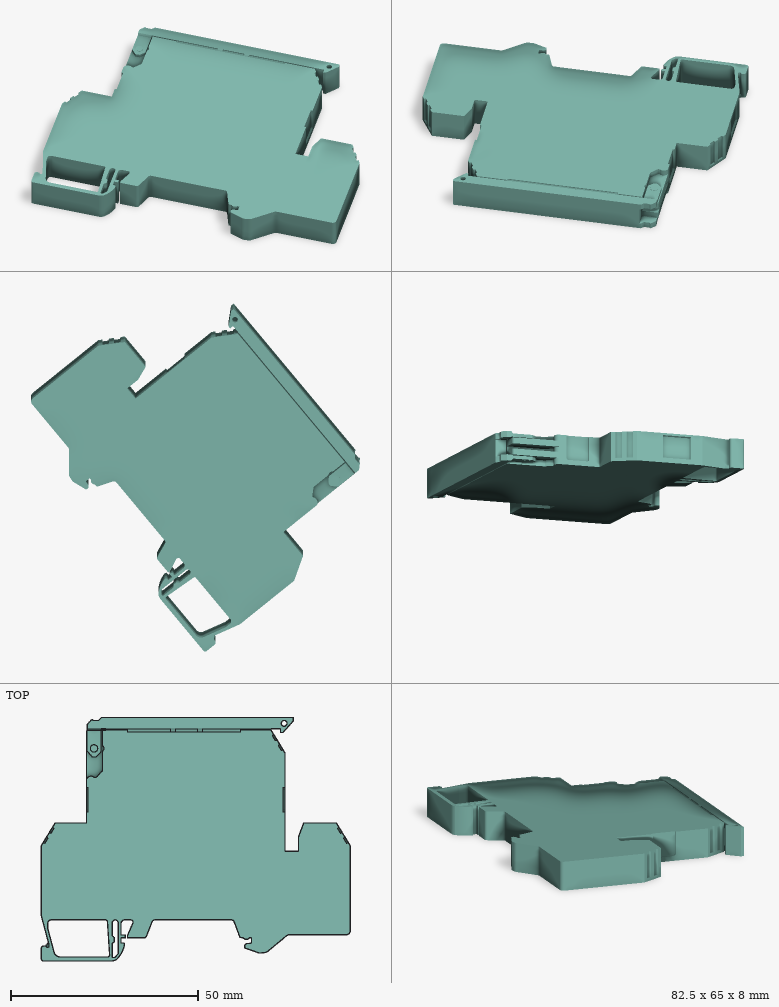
import cadquery as cq
import math

length = 82.5
height = 65.0
thickness = 8.0

rail_y = 11.0
foot_y = 6.2
heel_y = 7.0
shoulder_y = 36.9
housing_top = 61.6
groove_y = 29.4

tower_left = 12.05
tower_right = 65.1
groove_right = 68.6

bevel_x = 3.7
bevel_y = 6.1

vent_drops = [(1.0, 2.55), (3.6, 5.2)]
vent_depth = 0.5
vent_lean = 0.25
vent_floor_z = 0.8

layer_z = 1.65
pocket_right = 16.4
pocket_corner_y = 50.6
pocket_low_y = 48.4
middle_slot_z = (3.3, 4.7)

hinge_x = 14.1
hinge_y = 56.8
pin_radius = 1.0
tongue_left = 12.3
tongue_right = 16.0
root_reach = 0.4
tongue_inset = 0.6
tongue_thickness = 0.9
pin_rise = 0.1
relief_radius = 0.9
relief_x = 15.8

lid_bottom = 61.95
lid_right = 67.3
eye_x = 64.85
eye_y = 63.45
eye_radius = 0.75
overlap = 0.1
web_setback = 0.8

strip_left = 23.1
strip_right = 53.1
strip_bottom = 61.1
strip_depth = 0.25
tooth_lefts = (34.5, 41.75)
tooth_width = 1.3

label_depth = 0.5
label_y = (39.85, 46.3)
label_floor_z = 1.3
label_radius = 0.5

marker_y = (15.35, 23.35)
marker_z = (1.3, 7.4)
marker_taper = 0.25
marker_depth = 0.5

notch_y = 4.05
notch_web = 0.8


def plate(points, bottom, top):
    """Straight-sided outline between two Z levels."""
    return cq.Workplane("XY").workplane(offset=bottom).polyline(points).close().extrude(top - bottom)


def box(x_range, y_range, z_range):
    """Box given by its limits along each axis."""
    (x0, x1), (y0, y1), (z0, z1) = x_range, y_range, z_range
    return cq.Workplane("XY").box(x1 - x0, y1 - y0, z1 - z0, centered=False).translate((x0, y0, z0))


def mirrored(solid):
    """The solid together with its mirror image about the mid-thickness plane."""
    return solid.union(solid.mirror("XY", (0, 0, thickness / 2)))


def housing():
    """Full-thickness outline, clockwise from the lower end of the left face."""
    corner_break = 0.25
    heel_radius = 1.1
    toe_radius = 0.7
    bevel_foot_y = shoulder_y - bevel_y
    return (
        cq.Workplane("XY")
        .moveTo(0, 12.1)
        .lineTo(0, bevel_foot_y)
        .lineTo(bevel_x, shoulder_y)
        .lineTo(tower_left, shoulder_y)
        .lineTo(tower_left, housing_top - corner_break)
        .lineTo(tower_left + corner_break, housing_top)
        .lineTo(tower_right - bevel_x, housing_top)
        .lineTo(tower_right, housing_top - bevel_y)
        .lineTo(tower_right, groove_y)
        .lineTo(groove_right, groove_y)
        .lineTo(groove_right, 33.2)
        .lineTo(70.05, shoulder_y)
        .lineTo(length - bevel_x, shoulder_y)
        .lineTo(length, bevel_foot_y)
        .lineTo(length, heel_y + heel_radius)
        .radiusArc((length - heel_radius, heel_y), heel_radius)
        .lineTo(66.25, heel_y)
        .threePointArc((65.8, 6.9), (65.4, 6.7))
        .lineTo(60.6, 2.7)
        .threePointArc((60.15, 2.4), (59.5, 2.2))
        .lineTo(58.7, 2.15)
        .threePointArc((58.2, 2.15), (57.7, 2.3))
        .lineTo(54.4, 3.5)
        .threePointArc((54.4, 4.3), (55.35, 4.7))
        .lineTo(56.1, 4.9)
        .lineTo(56.1, foot_y)
        .lineTo(55.5, foot_y)
        .threePointArc((54.9, 5.8), (53.95, foot_y))
        .lineTo(53.05, 6.3)
        .lineTo(51.5, 10.5)
        .threePointArc((51.2, 10.8), (50.7, rail_y))
        .lineTo(30.4, rail_y)
        .threePointArc((29.9, 10.8), (29.6, 10.5))
        .lineTo(28.1, 6.7)
        .threePointArc((27.9, 6.35), (27.5, foot_y))
        .lineTo(23.0, foot_y)
        .lineTo(23.0, 6.85)
        .lineTo(24.4, 10.1)
        .threePointArc((24.4, 10.65), (23.9, rail_y))
        .lineTo(22.2, rail_y)
        .threePointArc((21.6, 10.7), (21.4, 10.15))
        .lineTo(21.4, heel_y)
        .lineTo(22.4, heel_y)
        .lineTo(22.4, foot_y)
        .lineTo(21.4, foot_y)
        .lineTo(21.4, 4.9)
        .lineTo(22.1, 4.9)
        .lineTo(22.3, 4.4)
        .threePointArc((21.45, 2.15), (20.2, 0.5))
        .threePointArc((19.6, 0.2), (18.9, 0))
        .lineTo(toe_radius, 0)
        .radiusArc((0, toe_radius), toe_radius)
        .lineTo(0, notch_y - toe_radius)
        .radiusArc((toe_radius, notch_y), toe_radius)
        .lineTo(1.15, notch_y)
        .lineTo(1.6, 3.6)
        .lineTo(2.0, 3.7)
        .lineTo(2.15, notch_y)
        .close()
        .extrude(thickness)
    )


def foot_window():
    """Large opening in the sprung foot."""
    bottom = 1.15
    return (
        cq.Workplane("XY")
        .moveTo(1.8, 8.6)
        .lineTo(1.8, 10.1)
        .threePointArc((2.1, 10.7), (2.8, rail_y))
        .lineTo(17.25, rail_y)
        .threePointArc((17.6, 10.8), (17.65, 10.5))
        .lineTo(18.2, 1.65)
        .threePointArc((18.15, 1.3), (17.7, bottom))
        .lineTo(4.9, bottom)
        .threePointArc((4.0, 1.6), (3.5, 2.4))
        .close()
        .extrude(thickness)
    )


def foot_slot():
    """Narrow slot in the sprung foot, with a bump on its left wall."""
    left = 19.0
    right = 20.55
    top_radius = (right - left) / 2
    return (
        cq.Workplane("XY")
        .moveTo(left, 6.8)
        .lineTo(left, rail_y - top_radius)
        .threePointArc((left + top_radius, rail_y), (right, rail_y - top_radius))
        .lineTo(right, 2.0)
        .lineTo(19.6, 1.0)
        .lineTo(left, 1.0)
        .lineTo(left, 4.7)
        .lineTo(19.55, 5.1)
        .lineTo(19.55, 6.3)
        .close()
        .extrude(thickness)
    )


def notch_floor():
    """Thin web left standing in the inner corner of the release notch."""
    return plate([(1.15, notch_y), (1.9, 4.9), (2.15, notch_y), (2.0, 3.7), (1.6, 3.6)], 0, notch_web)


def hinge_pocket(bottom, top):
    """Pocket with a sloped and rounded lower end, open to the left and upwards."""
    return (
        cq.Workplane("XY")
        .workplane(offset=bottom)
        .moveTo(tower_left, housing_top)
        .lineTo(pocket_right, housing_top)
        .lineTo(pocket_right, 51.15)
        .threePointArc((16.3, 50.8), (16.1, pocket_corner_y))
        .lineTo(14.7, 49.0)
        .lineTo(14.2, 49.0)
        .threePointArc((13.1, 49.3), (tower_left, pocket_low_y))
        .close()
        .extrude(top - bottom)
    )


def hinge_pockets():
    """Outer pockets with a round relief in the wall, and a plain middle slot."""
    floor_z = thickness - layer_z
    relief = cq.Workplane("XY").workplane(offset=floor_z).center(relief_x, hinge_y)
    outer = hinge_pocket(floor_z, thickness).union(relief.circle(relief_radius).extrude(layer_z))
    return mirrored(outer).union(hinge_pocket(*middle_slot_z))


def bevel_vents(top_x, top_y, side):
    """Vent slots across a bevel that starts at (top_x, top_y); side is +1 or -1 along X."""
    def on_bevel(drop):
        return (top_x + side * bevel_x * drop / bevel_y, top_y - drop)

    bevel_length = math.hypot(bevel_x, bevel_y)
    inward_x = -side * vent_depth * bevel_y / bevel_length
    inward_y = -vent_depth * bevel_x / bevel_length
    vents = cq.Workplane("XY")
    for upper, lower in vent_drops:
        mouth = [on_bevel(upper), on_bevel(lower)]
        floor = [(x + inward_x, y + inward_y) for x, y in (on_bevel(lower), on_bevel(upper + vent_lean))]
        vents = vents.union(plate(mouth + floor, vent_floor_z, thickness))
    return vents


def label_recess(x_range):
    """Side recess open towards the upper face, with rounded lower corners."""
    recess = box(x_range, label_y, (label_floor_z, thickness))
    return recess.edges("|X and <Z").fillet(label_radius)


def marker_recess():
    """Recess in the left end face; its upper and lower-Y walls slope inwards."""
    def outline(plane, taper):
        y_low = marker_y[0] + taper
        z_high = marker_z[1] - taper
        corners = [(y_low, marker_z[0]), (marker_y[1], marker_z[0]), (marker_y[1], z_high), (y_low, z_high)]
        return plane.polyline(corners).close()

    opening = outline(cq.Workplane("YZ"), 0)
    return outline(opening.workplane(offset=marker_depth), marker_taper).loft(ruled=True)


def lid():
    """Lid strip with a hooked right end; its middle layer starts behind the hinge."""
    outline = [
        (tongue_left, lid_bottom),
        (tongue_left, 63.2),
        (13.5, 64.5),
        (13.95, 64.3),
        (15.35, 64.3),
        (16.1, height),
        (lid_right, height),
        (lid_right, 64.1),
        (64.5, 61.0),
        (63.85, 61.0),
        (63.85, lid_bottom),
    ]
    strip = plate(outline, 0, thickness)
    hinge_gap = box((0, pocket_right), (lid_bottom, height), (layer_z, thickness - layer_z))
    eye = cq.Workplane("XY").center(eye_x, eye_y).circle(eye_radius).extrude(thickness)
    return strip.cut(hinge_gap).cut(eye)


def tongues():
    """Hinge tongues hanging from the lid, with bevelled roots and pins into the housing."""
    top = thickness - tongue_inset
    outline = [
        (tongue_left, lid_bottom + overlap),
        (tongue_left, 56.0),
        (13.6, 54.5),
        (14.7, 54.5),
        (tongue_right, 55.85),
        (tongue_right, lid_bottom + overlap),
    ]
    tongue = plate(outline, top - tongue_thickness, top)
    root = (
        cq.Workplane("YZ")
        .workplane(offset=tongue_left)
        .polyline([(lid_bottom, thickness), (lid_bottom - root_reach, top), (lid_bottom, top)])
        .close()
        .extrude(tongue_right - tongue_left)
    )
    pin_base = thickness - layer_z
    pin = cq.Workplane("XY").workplane(offset=pin_base).center(hinge_x, hinge_y)
    pin = pin.circle(pin_radius).extrude(top + pin_rise - pin_base)
    return mirrored(tongue.union(root).union(pin))


def lid_web():
    """Middle layer that joins the lid to the housing, leaving a thin joint line on both faces."""
    x_range = (pocket_right + web_setback, tower_right - bevel_x)
    return box(x_range, (housing_top - overlap, lid_bottom + overlap), (layer_z, thickness - layer_z))


def strip_teeth():
    """Wedge teeth that reach from the lid across the shallow strip."""
    teeth = cq.Workplane("XY")
    floor_z = thickness - strip_depth
    for left in tooth_lefts:
        tooth = (
            cq.Workplane("YZ")
            .workplane(offset=left)
            .polyline([(lid_bottom, thickness), (strip_bottom, floor_z), (lid_bottom, floor_z)])
            .close()
            .extrude(tooth_width)
        )
        teeth = teeth.union(tooth)
    return teeth


body = housing().cut(foot_window()).cut(foot_slot()).union(notch_floor())
body = body.cut(hinge_pockets()).cut(marker_recess())
body = body.cut(label_recess((tower_left, tower_left + label_depth)))
body = body.cut(label_recess((tower_right - label_depth, tower_right)))
body = body.cut(bevel_vents(bevel_x, shoulder_y, -1))
body = body.cut(bevel_vents(length - bevel_x, shoulder_y, 1))
body = body.cut(bevel_vents(tower_right - bevel_x, housing_top, 1))

strip_x = (strip_left, strip_right)
strip_floor = thickness - strip_depth
strip_recess = box(strip_x, (strip_bottom, lid_bottom), (strip_floor, thickness))
strip_bridge = box(strip_x, (strip_bottom, lid_bottom), (layer_z, strip_floor))

result = body.union(lid()).union(tongues()).union(lid_web())
result = result.cut(strip_recess).union(strip_bridge).union(strip_teeth())